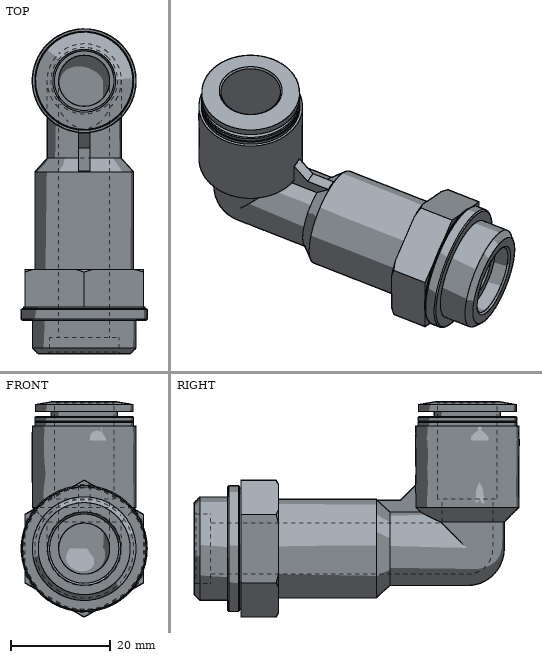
import cadquery as cq

LENGTH = 65.7
SOCKET_DIAMETER = 21.0
ELBOW_RADIUS = 7.5
BORE_RADIUS = 10.3 / 2

END = LENGTH - SOCKET_DIAMETER / 2
NOSE_RADIUS = 20.95 / 2
NOSE_CHAMFER = 1.2
RING_RADIUS = 25.5 / 2
RING_START = 46.0
RING_END = 48.4
RING_CHAMFER = 0.25
RING_NECK_RADIUS = 24.5 / 2
HEX_ACROSS_FLATS = 24.0
HEX_ACROSS_CORNERS = HEX_ACROSS_FLATS * 2 / 3**0.5
HEX_START = 38.1
HEX_END = 45.7
HEX_CHAMFER_RADIUS = 12.95
HEX_CHAMFER_LENGTH = 0.5
SLEEVE_RADIUS = 20.0 / 2
SLEEVE_CONE_START = 15.65
SLEEVE_START = 18.4
COUNTERBORE_RADIUS = 14.0 / 2
COUNTERBORE_DEPTH = 3.3
COUNTERBORE_CHAMFER = 0.4

TOP = 43.55 - HEX_ACROSS_CORNERS / 2
SOCKET_RADIUS = SOCKET_DIAMETER / 2
SOCKET_END_RADIUS = 20.95 / 2
SOCKET_BOTTOM = 8.35
SOCKET_CONE_BOTTOM = SOCKET_BOTTOM - (SOCKET_END_RADIUS - ELBOW_RADIUS)
SOCKET_SHOULDER = 21.75
SOCKET_TOP = 24.8
COLLAR_RADIUS = 20.0 / 2
COLLAR_TOP = 26.7
COLLAR_CHAMFER = 0.2
COLLAR_GROOVE_HEIGHT = 25.6
COLLAR_GROOVE_SIZE = 0.1
RELEASE_NECK_RADIUS = 13.5 / 2
RELEASE_RADIUS = 19.8 / 2
RELEASE_BOTTOM = 27.65
RELEASE_EDGE = 29.1
PORT_RADIUS = 12.0 / 2
PORT_DEPTH = 19.7
PORT_CHAMFER = 0.3

RIB_WIDTH = 2.3
RIB_TOP = 9.8
RIB_SLOPE = 3.0


def revolve_profile(points):
    """Turn (radius, position) points about local Y into a solid."""
    start = (0, points[0][1])
    end = (0, points[-1][1])
    profile = cq.Workplane("XY").polyline([start] + points + [end]).close()
    return profile.revolve(360, (0, 0, 0), (0, 1, 0))


def along_tube(points):
    """Revolved solid whose positions run from the elbow towards -Y."""
    return revolve_profile(points).rotate((0, 0, 0), (1, 0, 0), 180)


def along_socket(points):
    """Revolved solid whose positions run upwards along Z."""
    return revolve_profile(points).rotate((0, 0, 0), (1, 0, 0), 90)


def tube_body():
    return along_tube([
        (ELBOW_RADIUS, 0),
        (ELBOW_RADIUS, SLEEVE_CONE_START),
        (SLEEVE_RADIUS, SLEEVE_START),
        (SLEEVE_RADIUS, HEX_END),
        (RING_NECK_RADIUS, HEX_END),
        (RING_NECK_RADIUS, RING_START),
        (RING_RADIUS - RING_CHAMFER, RING_START),
        (RING_RADIUS, RING_START + RING_CHAMFER),
        (RING_RADIUS, RING_END - RING_CHAMFER),
        (RING_RADIUS - RING_CHAMFER, RING_END),
        (NOSE_RADIUS, RING_END),
        (NOSE_RADIUS, END - NOSE_CHAMFER),
        (NOSE_RADIUS - NOSE_CHAMFER, END),
    ])


def hexagon():
    """Hexagon with corners up and down, chamfered on the elbow side."""
    prism = (
        cq.Workplane("XZ", origin=(0, -HEX_START, 0))
        .transformed(rotate=(0, 0, 90))
        .polygon(6, HEX_ACROSS_CORNERS)
        .extrude(HEX_END - HEX_START)
    )
    corner_radius = HEX_ACROSS_CORNERS / 2
    envelope = along_tube([
        (HEX_CHAMFER_RADIUS, HEX_START),
        (corner_radius, HEX_START + HEX_CHAMFER_LENGTH),
        (corner_radius, HEX_END),
    ])
    return prism.intersect(envelope)


def socket_body():
    """Socket, widest at its shoulder, with the collar and release ring above it."""
    return along_socket([
        (ELBOW_RADIUS, 0),
        (ELBOW_RADIUS, SOCKET_CONE_BOTTOM),
        (SOCKET_END_RADIUS, SOCKET_BOTTOM),
        (SOCKET_RADIUS, SOCKET_SHOULDER),
        (SOCKET_END_RADIUS, SOCKET_TOP),
        (COLLAR_RADIUS, SOCKET_TOP),
        (COLLAR_RADIUS, COLLAR_GROOVE_HEIGHT - COLLAR_GROOVE_SIZE),
        (COLLAR_RADIUS - COLLAR_GROOVE_SIZE, COLLAR_GROOVE_HEIGHT),
        (COLLAR_RADIUS, COLLAR_GROOVE_HEIGHT + COLLAR_GROOVE_SIZE),
        (COLLAR_RADIUS, COLLAR_TOP - COLLAR_CHAMFER),
        (COLLAR_RADIUS - COLLAR_CHAMFER, COLLAR_TOP),
        (RELEASE_NECK_RADIUS, COLLAR_TOP),
        (RELEASE_NECK_RADIUS, RELEASE_BOTTOM),
        (RELEASE_RADIUS, RELEASE_BOTTOM),
        (RELEASE_RADIUS, RELEASE_EDGE),
        (PORT_RADIUS + PORT_CHAMFER, TOP),
    ])


def rib():
    slope_top = RIB_TOP + RIB_SLOPE
    slope_end = SOCKET_RADIUS + RIB_SLOPE
    return (
        cq.Workplane("YZ", origin=(-RIB_WIDTH / 2, 0, 0))
        .polyline([
            (-ELBOW_RADIUS, 0),
            (-ELBOW_RADIUS, slope_top),
            (-SOCKET_RADIUS, slope_top),
            (-slope_end, RIB_TOP),
            (-SLEEVE_START, RIB_TOP),
            (-SLEEVE_START, 0),
        ])
        .close()
        .extrude(RIB_WIDTH)
    )


def tube_bore():
    counterbore_end = END - COUNTERBORE_DEPTH
    return along_tube([
        (BORE_RADIUS, 0),
        (BORE_RADIUS, counterbore_end),
        (COUNTERBORE_RADIUS, counterbore_end),
        (COUNTERBORE_RADIUS, END - COUNTERBORE_CHAMFER),
        (COUNTERBORE_RADIUS + COUNTERBORE_CHAMFER, END),
    ])


def socket_bore():
    port_floor = TOP - PORT_DEPTH
    return along_socket([
        (BORE_RADIUS, 0),
        (BORE_RADIUS, port_floor),
        (PORT_RADIUS, port_floor),
        (PORT_RADIUS, TOP - PORT_CHAMFER),
        (PORT_RADIUS + PORT_CHAMFER, TOP),
    ])


elbow = cq.Workplane("XY").sphere(ELBOW_RADIUS)
elbow_bore = cq.Workplane("XY").sphere(BORE_RADIUS)

body = elbow.union(tube_body()).union(hexagon()).union(socket_body()).union(rib())
result = body.cut(elbow_bore).cut(tube_bore()).cut(socket_bore())